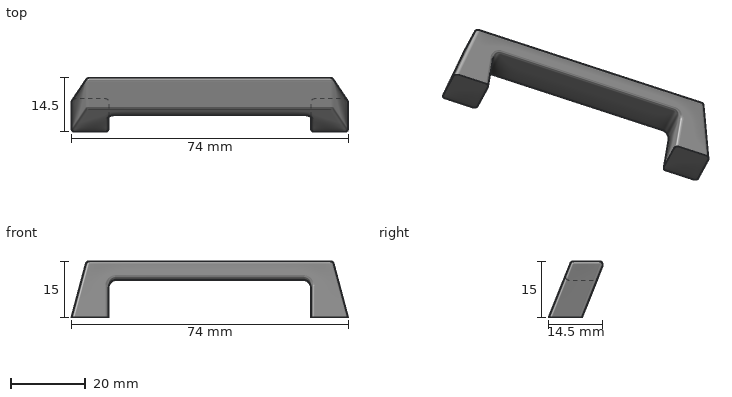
import cadquery as cq
import math

length = 74.0
height = 15.0
depth = 8.95
end_angle = 15.0
back_lean_angle = 21.8

leg_width = 10.0
opening_height = 10.0
opening_radius = 2.0

edge_radius = 0.95

end_inset = height * math.tan(math.radians(end_angle))
lean = height * math.tan(math.radians(back_lean_angle))
opening_width = length - 2 * leg_width

rear_edge_angle = math.radians(90 - back_lean_angle)
rear_trim = edge_radius * (1 / math.tan(rear_edge_angle / 2) - 1)
total_depth = depth + lean - rear_trim
base_front = -total_depth / 2


def handle_blank():
    """Tapered bar whose front and back faces lean backward."""
    front_outline = (
        cq.Workplane("XZ")
        .polyline([
            (-length / 2, 0),
            (length / 2, 0),
            (length / 2 - end_inset, height),
            (-length / 2 + end_inset, height),
        ])
        .close()
        .extrude(length, both=True)
    )
    leaning_section = (
        cq.Workplane("YZ")
        .polyline([
            (base_front, 0),
            (base_front + depth, 0),
            (base_front + depth + lean, height),
            (base_front + lean, height),
        ])
        .close()
        .extrude(length, both=True)
    )
    return front_outline.intersect(leaning_section)


def finger_opening():
    """Opening through the handle, open at the base and rounded at its upper corners."""
    return (
        cq.Workplane("XY")
        .box(opening_width, length, opening_height, centered=(True, True, False))
        .edges("|Y and >Z")
        .fillet(opening_radius)
    )


handle = handle_blank().cut(finger_opening())

result = handle.edges("not(<Z)").fillet(edge_radius)